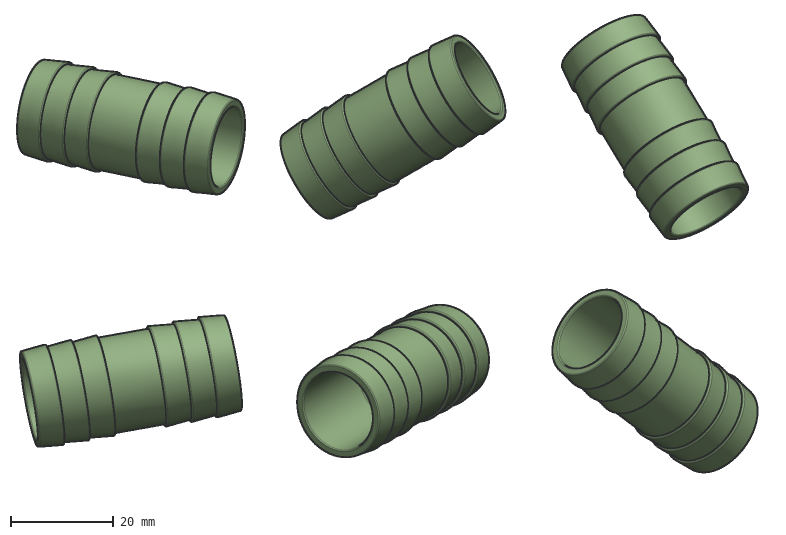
import cadquery as cq

length = 40.65
core_diameter = 19.05
barb_diameter = 20.08
bore_diameter = 16.0
barb_pitch = 5.1
barbs_per_end = 3
edge_radius = 0.25

half_length = length / 2
core_radius = core_diameter / 2
barb_radius = barb_diameter / 2
bore_radius = bore_diameter / 2


def barbed_half():
    """Solid half of the joiner, from its open end at -X to the middle."""
    profile = cq.Workplane("XY").moveTo(-half_length, 0).lineTo(-half_length, core_radius)
    for barb in range(1, barbs_per_end + 1):
        barb_end = -half_length + barb * barb_pitch
        profile = profile.lineTo(barb_end, barb_radius).lineTo(barb_end, core_radius)
    profile = profile.lineTo(0, core_radius).lineTo(0, 0).close()
    return profile.revolve(360, (0, 0, 0), (1, 0, 0))


def is_rounded(edge):
    """True for the barb tips and for both rims of the open ends."""
    if edge.geomType() != "CIRCLE":
        return False
    is_barb_tip = edge.radius() > (core_radius + barb_radius) / 2
    is_end_rim = abs(edge.Center().x) > half_length - edge_radius
    return is_barb_tip or is_end_rim


left_half = barbed_half()
body = left_half.union(left_half.mirror("YZ"))

bore = cq.Workplane("YZ").circle(bore_radius).extrude(half_length, both=True)
tube = body.cut(bore)

rounded_edges = [edge for edge in tube.edges().vals() if is_rounded(edge)]
result = tube.newObject(rounded_edges).fillet(edge_radius)